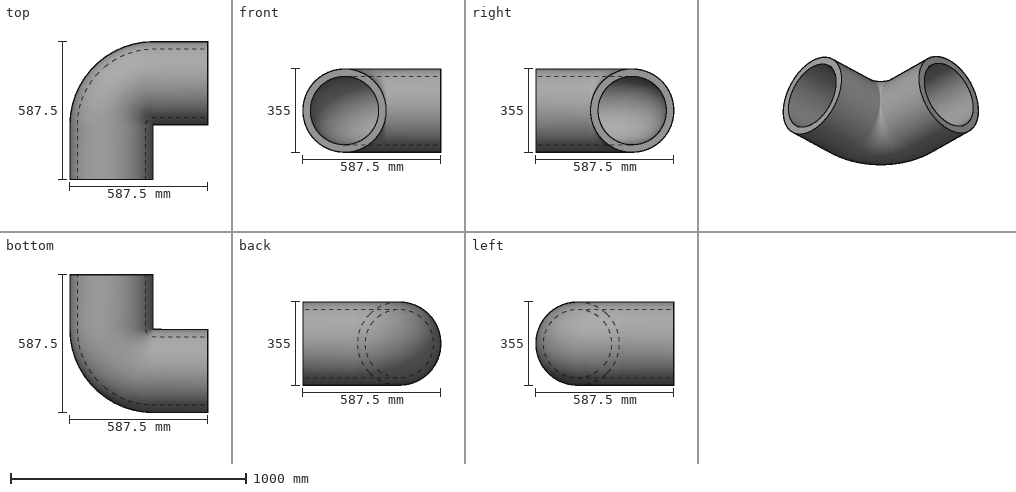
import cadquery as cq

overall_length = 587.5
outer_diameter = 355.0
bore_diameter = 291.0
inner_bend_radius = 2.0
bend_angle = 90

bend_radius = inner_bend_radius + outer_diameter / 2
leg_length = overall_length - inner_bend_radius - outer_diameter


def pipe_ring(plane, center_x):
    """Annular pipe cross-section on the given plane."""
    return (
        cq.Workplane(plane)
        .center(center_x, 0)
        .circle(outer_diameter / 2)
        .circle(bore_diameter / 2)
    )


inlet_leg = pipe_ring("XZ", -bend_radius).extrude(leg_length)
outlet_leg = pipe_ring("YZ", bend_radius).extrude(leg_length)

bend = pipe_ring("XZ", -bend_radius).revolve(bend_angle, (bend_radius, 0), (bend_radius, -1))

result = inlet_leg.union(bend).union(outlet_leg)